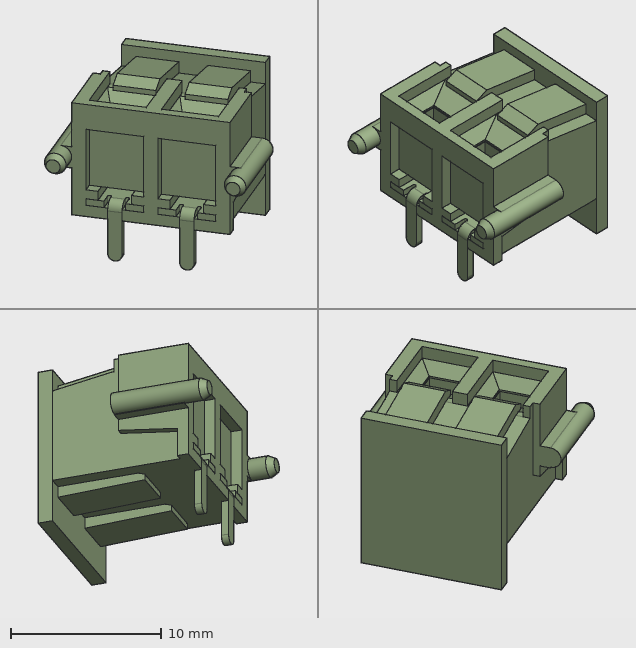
import cadquery as cq
import math


overall_width = 14.0
overall_depth = 12.7
pitch = 5.0
pole_positions = [-pitch / 2, pitch / 2]

rear_width = 10.0
front_width = 11.0
housing_depth = 9.87
housing_height = 8.2
rear_roof_height = 6.64
rib_end_y = 5.5
rib_end_roof_height = 7.31

pad_thickness = (front_width - rear_width) / 2
pad_depth = 4.98
pad_rear_height = 2.62
pad_foot_depth = 0.78
pad_foot_height = 2.03

peg_diameter = 1.5
peg_x = (overall_width - peg_diameter) / 2
peg_z = 4.23
peg_protrusion = 1.8
peg_tip_length = 0.5
peg_tip_diameter = 0.98
web_height = 1.55

pocket_wall = 0.5
middle_rib = 1.06
pocket_width = (rear_width - middle_rib) / 2 - pocket_wall
pocket_x = (middle_rib + pocket_width) / 2
pocket_front_y = 0.73
funnel_rear_y = 4.97
throat_top_z = 6.51
throat_width = 2.44
throat_front_y = 1.5
throat_rear_y = 3.2

clamp_width = 4.0
clamp_bottom_z = 1.96
clamp_top_z = 6.38
clamp_front_y = 0.77
clamp_hole_width = 2.34
clamp_hole_rear_y = 3.15
clamp_rear_y = clamp_hole_rear_y + throat_front_y - clamp_front_y

strip_top_z = 1.3
strip_thickness = 0.48
strip_bottom_z = strip_top_z - strip_thickness
leg_width = 1.0
leg_thickness = 0.52
bend_radius = 0.69
slit_width = 0.25
slit_depth = 0.98

cover_thickness = overall_depth - peg_protrusion - housing_depth
cover_height = 11.2
cover_bottom_z = housing_height - cover_height
arm_width = 2.97
top_arm_thickness = 0.83
top_arm_end_y = 4.56
top_arm_end_z = 7.69
bottom_arm_root_z = -0.78
bottom_arm_end_y = 3.68
bottom_arm_end_z = -0.57
bottom_arm_end_top_z = -0.17
bottom_arm_bevel_y = 4.13


def box(width, y_range, z_range, x_center=0.0):
    """Block centred on x_center that spans the given Y and Z ranges."""
    y_min, y_max = y_range
    z_min, z_max = z_range
    size = (width, y_max - y_min, z_max - z_min)
    corner = (x_center - width / 2, y_min, z_min)
    return cq.Workplane("XY").box(*size, centered=False).translate(corner)


def side_profile(points, width, x_center=0.0):
    """Prism of a YZ outline, centred on x_center."""
    prism = cq.Workplane("YZ").polyline(points).close().extrude(width / 2, both=True)
    return prism.translate((x_center, 0, 0))


def make_shell():
    """Outer block with its sloping rear roof."""
    outline = [
        (0, 0),
        (housing_depth, 0),
        (housing_depth, rear_roof_height),
        (rib_end_y, rib_end_roof_height),
        (rib_end_y, housing_height),
        (0, housing_height),
    ]
    return side_profile(outline, rear_width)


def make_pads():
    """Wide front section; it stands out on both sides of the block."""
    outline = [
        (0, 0),
        (pad_foot_depth, 0),
        (pad_foot_depth, pad_foot_height),
        (pad_depth, pad_rear_height),
        (pad_depth, housing_height),
        (0, housing_height),
    ]
    pads = None
    for side in (-1, 1):
        pad = side_profile(outline, pad_thickness, side * (rear_width + pad_thickness) / 2)
        pads = pad if pads is None else pads.union(pad)
    return pads


def make_peg(side):
    """Round peg with a conical tip, and the web that joins it to the housing."""
    peg_radius = peg_diameter / 2
    tip_start_y = peg_tip_length - peg_protrusion
    outline = [
        (pad_depth, 0),
        (pad_depth, peg_radius),
        (tip_start_y, peg_radius),
        (-peg_protrusion, peg_tip_diameter / 2),
        (-peg_protrusion, 0),
    ]
    peg = cq.Workplane("YZ").polyline(outline).close().revolve(360, (0, 0, 0), (1, 0, 0))
    peg = peg.translate((side * peg_x, 0, peg_z))
    web_top_z = peg_z + peg_radius
    web_width = peg_x - rear_width / 2
    web_x = side * (peg_x - web_width / 2)
    return peg.union(box(web_width, (0, pad_depth), (web_top_z - web_height, web_top_z), web_x))


def make_wire_entry(side):
    """Everything removed for one wire: pocket, funnel and throat."""
    pocket_z = (rib_end_roof_height, housing_height)
    pocket = box(pocket_width, (pocket_front_y, rib_end_y), pocket_z, side * pocket_x)
    throat_x = side * pitch / 2
    throat_y = (throat_front_y + throat_rear_y) / 2
    mouth_y = (pocket_front_y + funnel_rear_y) / 2
    funnel = (
        cq.Workplane("XY", origin=(0, 0, throat_top_z))
        .center(throat_x, throat_y)
        .rect(throat_width, throat_rear_y - throat_front_y)
        .workplane(offset=rib_end_roof_height - throat_top_z)
        .center(side * pocket_x - throat_x, mouth_y - throat_y)
        .rect(pocket_width, funnel_rear_y - pocket_front_y)
        .loft(ruled=True)
    )
    throat = box(throat_width, (throat_front_y, throat_rear_y), (clamp_top_z, throat_top_z), throat_x)
    return pocket.union(funnel).union(throat)


def make_clamp_cavity(x):
    """Front chamber for the clamp, with the strip slot and the leg groove below it."""
    chamber = box(clamp_width, (0, clamp_rear_y), (clamp_bottom_z, clamp_top_z), x)
    notch = box(clamp_hole_width, (0, clamp_hole_rear_y), (strip_top_z, clamp_bottom_z), x)
    slot = box(clamp_width, (0, clamp_rear_y), (strip_bottom_z, strip_top_z), x)
    groove = box(leg_width, (0, leg_thickness), (0, strip_bottom_z), x)
    return chamber.union(notch).union(slot).union(groove)


def make_clamp(x):
    """Rectangular clamp with an upright wire hole."""
    z_range = (clamp_bottom_z, clamp_top_z)
    clamp = box(clamp_width, (clamp_front_y, clamp_rear_y), z_range, x)
    return clamp.cut(box(clamp_hole_width, (throat_front_y, clamp_hole_rear_y), z_range, x))


def make_terminal(x):
    """Flat strip with a leg that is freed by two slits, bent down and rounded at its tip."""
    strip = box(clamp_width, (0, clamp_rear_y), (strip_bottom_z, strip_top_z))

    opening_width = leg_width + 2 * slit_width
    slit_end_radius = slit_width / 2
    slit_center_y = slit_depth - slit_end_radius
    strip = strip.cut(box(opening_width, (0, slit_center_y), (strip_bottom_z, strip_top_z)))
    slit_x = (leg_width + slit_width) / 2
    slit_ends = (
        cq.Workplane("XY", origin=(0, 0, strip_bottom_z))
        .pushPoints([(-slit_x, slit_center_y), (slit_x, slit_center_y)])
        .circle(slit_end_radius)
        .extrude(strip_thickness)
    )
    strip = strip.cut(slit_ends)

    arc_factor = math.sqrt(0.5)
    bend_z = strip_top_z - bend_radius
    outer_mid = (bend_radius * (1 - arc_factor), bend_z + bend_radius * arc_factor)
    inner_y_radius = bend_radius - leg_thickness
    inner_z_radius = bend_radius - strip_thickness
    inner_mid = (bend_radius - inner_y_radius * arc_factor, bend_z + inner_z_radius * arc_factor)
    tip_radius = leg_width / 2
    tip_center_z = cover_bottom_z + tip_radius
    leg = (
        cq.Workplane("YZ")
        .moveTo(slit_center_y, strip_top_z)
        .lineTo(bend_radius, strip_top_z)
        .threePointArc(outer_mid, (0, bend_z))
        .lineTo(0, tip_center_z)
        .lineTo(leg_thickness, tip_center_z)
        .lineTo(leg_thickness, bend_z)
        .threePointArc(inner_mid, (bend_radius, strip_bottom_z))
        .lineTo(slit_center_y, strip_bottom_z)
        .close()
        .extrude(leg_width / 2, both=True)
    )
    tip = (
        cq.Workplane("XZ", origin=(0, leg_thickness, tip_center_z))
        .circle(tip_radius)
        .extrude(leg_thickness)
    )
    return strip.union(leg).union(tip).translate((x, 0, 0))


def make_cover():
    """Rear plate with a latch arm above and below each pole."""
    cover_front_y = housing_depth
    cover = box(
        rear_width,
        (cover_front_y, cover_front_y + cover_thickness),
        (cover_bottom_z, housing_height),
    )
    top_arm_outline = [
        (cover_front_y, rear_roof_height),
        (cover_front_y, rear_roof_height + top_arm_thickness),
        (rib_end_y, rib_end_roof_height + top_arm_thickness),
        (top_arm_end_y, top_arm_end_z),
        (top_arm_end_y, rib_end_roof_height),
        (rib_end_y, rib_end_roof_height),
    ]
    bottom_arm_outline = [
        (cover_front_y, 0),
        (cover_front_y, bottom_arm_root_z),
        (bottom_arm_end_y, bottom_arm_end_z),
        (bottom_arm_end_y, bottom_arm_end_top_z),
        (bottom_arm_bevel_y, 0),
    ]
    for x in pole_positions:
        cover = cover.union(side_profile(top_arm_outline, arm_width, x))
        cover = cover.union(side_profile(bottom_arm_outline, arm_width, x))
    return cover


clamps = [make_clamp(x) for x in pole_positions]
terminals = [make_terminal(x) for x in pole_positions]
cover = make_cover()

housing = make_shell().union(make_pads())
for side in (-1, 1):
    housing = housing.union(make_peg(side))
    housing = housing.cut(make_wire_entry(side))
for x, terminal in zip(pole_positions, terminals):
    housing = housing.cut(make_clamp_cavity(x))
    housing = housing.cut(terminal)

result = cq.Compound.makeCompound(
    [
        housing.val(),
        cover.val(),
        *[clamp.val() for clamp in clamps],
        *[terminal.val() for terminal in terminals],
    ]
)